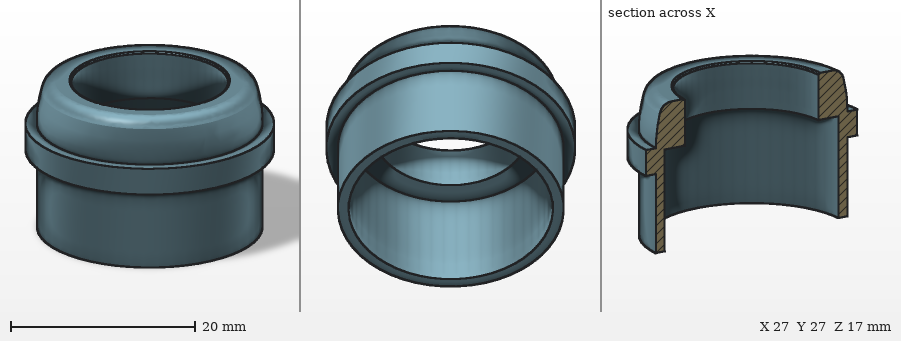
import cadquery as cq
import math

total_height = 17.0
flange_bottom = 9.0
flange_top = 12.0
shoulder_height = 11.6

body_diameter = 24.5
flange_diameter = 27.0
crown_radius = 15.0
top_fillet = 1.5

bore_diameter = 17.0
socket_diameter = 22.15
bore_chamfer = 0.2


def crown_profile_radius(height):
    """Radius of the crown: an arc that leaves the flange top vertically."""
    rise = height - flange_top
    setback = crown_radius - math.sqrt(crown_radius**2 - rise**2)
    return body_diameter / 2 - setback


def make_outer_body():
    """Cylindrical skirt, flange and crown turned about Z, with the crown rim rounded."""
    body_radius = body_diameter / 2
    flange_radius = flange_diameter / 2
    crown_middle = (flange_top + total_height) / 2
    turned = (
        cq.Workplane("XZ")
        .moveTo(0, 0)
        .lineTo(body_radius, 0)
        .lineTo(body_radius, flange_bottom)
        .lineTo(flange_radius, flange_bottom)
        .lineTo(flange_radius, flange_top)
        .lineTo(body_radius, flange_top)
        .threePointArc(
            (crown_profile_radius(crown_middle), crown_middle),
            (crown_profile_radius(total_height), total_height),
        )
        .lineTo(0, total_height)
        .close()
        .revolve(360, (0, 0), (0, 1))
    )
    return turned.faces(">Z").edges().fillet(top_fillet)


def cut_bore(body):
    """Through bore with a small chamfer at its top edge."""
    bored = body.faces(">Z").workplane().hole(bore_diameter)
    rim = bored.faces(">Z").edges(cq.selectors.RadiusNthSelector(0))
    return rim.chamfer(bore_chamfer)


def cut_socket(body):
    """Wider socket from the bottom face up to the internal shoulder."""
    socket = cq.Workplane("XY").circle(socket_diameter / 2).extrude(shoulder_height)
    return body.cut(socket)


result = cut_socket(cut_bore(make_outer_body()))